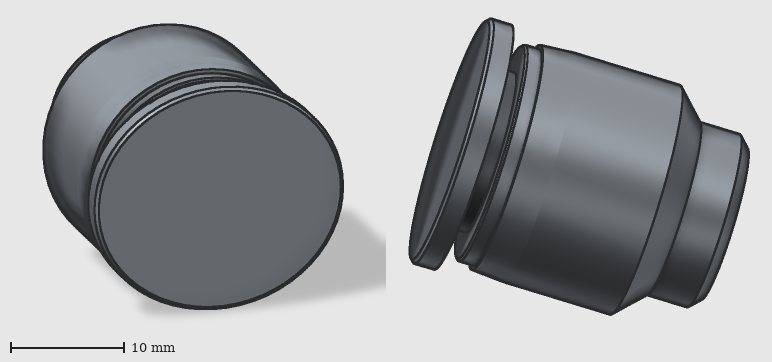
import cadquery as cq

total_length = 25.5

nose_diameter = 16.0
nose_chamfer = 1.0
nose_length = 4.75
barrel_diameter = 21.2
taper_start = 17.2
taper_end = 20.25
taper_end_diameter = 20.75
rim_diameter = 20.0
rim_end = 21.75
rim_chamfer = 0.2

neck_diameter = 14.8
flange_start = 23.35
flange_width = 23.0
flange_height = 20.5
flange_chamfer = 0.3


def make_housing():
    """Turned housing: nose, 45 degree shoulder, barrel, slight taper and stepped rim."""
    nose_radius = nose_diameter / 2
    barrel_radius = barrel_diameter / 2
    rim_radius = rim_diameter / 2
    shoulder_end = nose_length + barrel_radius - nose_radius
    profile = [
        (0, 0),
        (0, nose_radius - nose_chamfer),
        (nose_chamfer, nose_radius),
        (nose_length, nose_radius),
        (shoulder_end, barrel_radius),
        (taper_start, barrel_radius),
        (taper_end, taper_end_diameter / 2),
        (taper_end, rim_radius),
        (rim_end - rim_chamfer, rim_radius),
        (rim_end, rim_radius - rim_chamfer),
        (rim_end, 0),
    ]
    return cq.Workplane("XY").polyline(profile).close().revolve(360, (0, 0, 0), (1, 0, 0))


def make_release_collar():
    """Round neck joined to an oval flange that is wider along Y than along Z."""
    neck = (
        cq.Workplane("YZ", origin=(rim_end, 0, 0))
        .circle(neck_diameter / 2)
        .extrude(flange_start - rim_end)
    )
    flange = (
        cq.Workplane("YZ", origin=(flange_start, 0, 0))
        .ellipse(flange_width / 2, flange_height / 2)
        .extrude(total_length - flange_start)
        .faces(">X")
        .chamfer(flange_chamfer)
    )
    return neck.union(flange)


housing = make_housing()
release_collar = make_release_collar()

result = cq.Compound.makeCompound([housing.val(), *release_collar.solids().vals()])